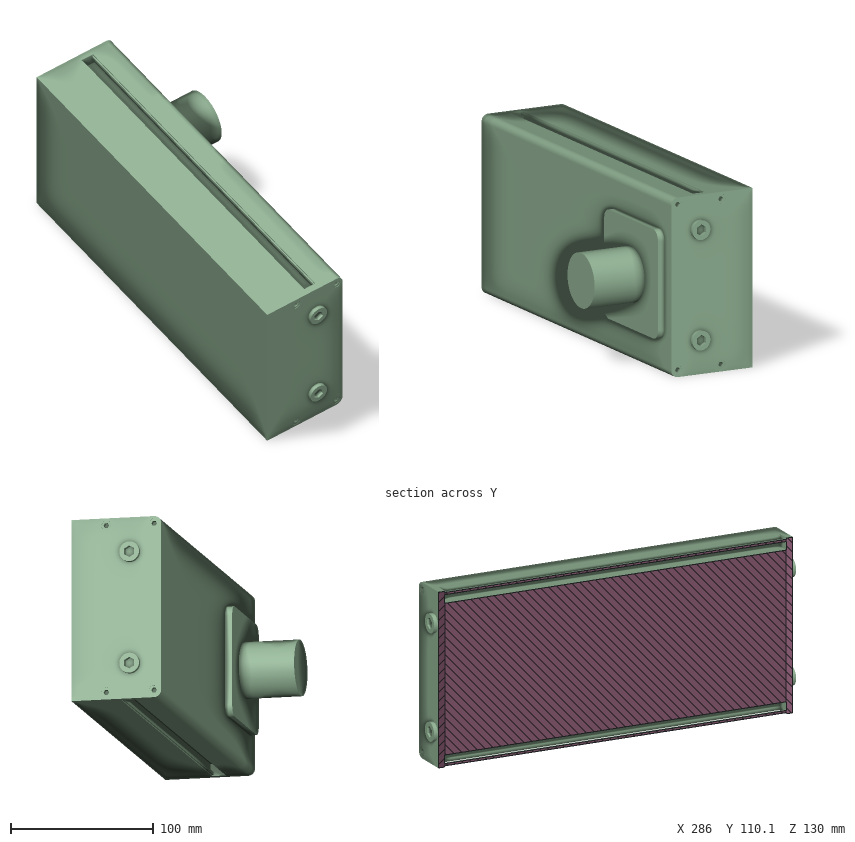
import cadquery as cq
import math

body_length = 280.0
body_height = 130.0
front_depth = 20.0
profile_depth = 45.0
plate_thickness = 5.1
back_corner_radius = 5.1

slot_y = 40.0
slot_mouth_width = 10.0
slot_mouth_depth = 1.0
slot_neck_width = 8.0
slot_neck_depth = 3.0
slot_cavity_width = 12.5
slot_depth = 9.0

hex_sides = 6
quarter_turn = 90

overall_length = 286.0
plug_diameter = 14.3
plug_spacing = 80.0
plug_hex_width = 7.2
plug_hex_depth = 3.5

screw_inset = 5.1
screw_recess_diameter = 7.0
screw_recess_depth = 0.3
screw_hex_width = 3.5
screw_hex_depth = 3.5

connector_x = -90.0
flange_size = 79.2
flange_thickness = 5.1
flange_corner_radius = 7.2
barrel_diameter = 40.0
barrel_length = 40.0

back_y = front_depth + profile_depth
profile_mid_y = front_depth + profile_depth / 2
profile_length = body_length - 2 * plate_thickness
plug_height = (overall_length - body_length) / 2
hex_corner_ratio = 1 / math.cos(math.pi / hex_sides)


def make_front_block():
    """Plain block that forms the whole front of the lamp."""
    return cq.Workplane("XY").box(body_length, front_depth, body_height, centered=(True, False, True))


def back_section(length):
    """Block behind the front block, with its two back edges rounded, starting at X = 0."""
    return (
        cq.Workplane("XY")
        .box(length, profile_depth, body_height, centered=(False, False, True))
        .translate((0, front_depth, 0))
        .edges("|X and >Y")
        .fillet(back_corner_radius)
    )


def slot_cutter():
    """Stepped slot running along X, open at the top face."""
    steps = [
        (slot_mouth_width, 0, slot_mouth_depth),
        (slot_neck_width, slot_mouth_depth, slot_neck_depth),
        (slot_cavity_width, slot_neck_depth, slot_depth),
    ]
    cutter = cq.Workplane("XY")
    for width, top, bottom in steps:
        step = cq.Workplane("XY").box(profile_length, width, bottom - top)
        cutter = cutter.union(step.translate((0, slot_y, body_height / 2 - (top + bottom) / 2)))
    return cutter


def make_profile():
    """Long middle section with a slot in its top and bottom faces."""
    profile = back_section(profile_length).translate((-profile_length / 2, 0, 0))
    top_slot = slot_cutter()
    return profile.cut(top_slot).cut(top_slot.mirror("XY"))


def make_end_plate():
    """End plate on the -X end, with its plugs and screws facing -X."""
    outer_x = -body_length / 2
    plate = back_section(plate_thickness).translate((outer_x, 0, 0))
    face = cq.Workplane("YZ", origin=(outer_x, profile_mid_y, 0))

    plug_heights = [-plug_spacing / 2, plug_spacing / 2]
    plugs = face.pushPoints([(0, z) for z in plug_heights]).circle(plug_diameter / 2).extrude(-plug_height)
    plug_sockets = (
        face.workplane(offset=-plug_height)
        .transformed(rotate=(0, 0, quarter_turn))
        .pushPoints([(z, 0) for z in plug_heights])
        .polygon(hex_sides, plug_hex_width * hex_corner_ratio)
        .extrude(plug_hex_depth)
    )

    screw_spacing_y = profile_depth - 2 * screw_inset
    screw_spacing_z = body_height - 2 * screw_inset
    screws = face.rect(screw_spacing_y, screw_spacing_z, forConstruction=True).vertices()
    recesses = screws.circle(screw_recess_diameter / 2).extrude(screw_recess_depth)
    screw_sockets = screws.polygon(hex_sides, screw_hex_width * hex_corner_ratio).extrude(screw_hex_depth)
    return plate.union(plugs).cut(plug_sockets).cut(recesses).cut(screw_sockets)


def make_connector():
    """Square flange with a round barrel, on the back of the profile."""
    flange = (
        cq.Workplane("XZ", origin=(connector_x, back_y, 0))
        .rect(flange_size, flange_size)
        .extrude(-flange_thickness)
        .edges("|Y")
        .fillet(flange_corner_radius)
    )
    barrel = (
        cq.Workplane("XZ", origin=(connector_x, back_y + flange_thickness, 0))
        .circle(barrel_diameter / 2)
        .extrude(-barrel_length)
    )
    return flange.union(barrel)


front_block = make_front_block()
profile = make_profile()
end_plate = make_end_plate()
end_plates = [end_plate, end_plate.mirror("YZ")]
connector = make_connector()

result = cq.Compound.makeCompound(
    [front_block.val(), profile.val(), *[plate.val() for plate in end_plates], connector.val()]
)